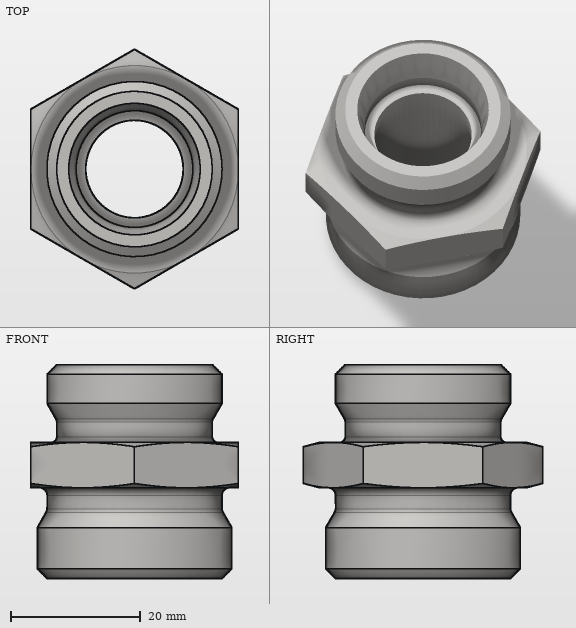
import cadquery as cq
import math

corner_diameter = 36.95
across_flats = corner_diameter * math.cos(math.radians(30))
hex_bottom = 14.0
hex_height = 7.0
hex_top = hex_bottom + hex_height
hex_chamfer_angle = 15.0

total_height = 33.0
end_chamfer = 1.5
lower_diameter = 30.0
lower_neck_diameter = 27.0
lower_collar_top = 7.87
upper_diameter = 27.0
upper_neck_diameter = 24.0
upper_collar_bottom = 27.0
shoulder_angle = 30.0
upper_root_radius = 0.9
lower_root_radius = 1.2

through_diameter = 15.0
socket_diameter = 18.0
mouth_diameter = 20.3
cone_half_angle = 12.0
socket_depth = 7.5


def round_shoulder(body, height, radius):
    """Blend a collar shoulder into its neck at the given height."""
    neck_edge = cq.selectors.NearestToPointSelector((0, 0, height))
    return body.edges(neck_edge).fillet(radius)


def turned_body():
    """Revolve both ends, with concave roots at both sides of each neck."""
    lower_radius = lower_diameter / 2
    lower_neck = lower_neck_diameter / 2
    upper_radius = upper_diameter / 2
    upper_neck = upper_neck_diameter / 2
    shoulder_slope = math.tan(math.radians(shoulder_angle))
    lower_neck_start = lower_collar_top + (lower_radius - lower_neck) / shoulder_slope
    upper_neck_end = upper_collar_bottom - (upper_radius - upper_neck) / shoulder_slope
    diagonal = 1 - math.sqrt(0.5)
    lower_mid = lower_root_radius * diagonal
    upper_mid = upper_root_radius * diagonal
    body = (
        cq.Workplane("XZ")
        .lineTo(lower_radius - end_chamfer, 0)
        .lineTo(lower_radius, end_chamfer)
        .lineTo(lower_radius, lower_collar_top)
        .lineTo(lower_neck, lower_neck_start)
        .lineTo(lower_neck, hex_bottom - lower_root_radius)
        .threePointArc(
            (lower_neck + lower_mid, hex_bottom - lower_mid),
            (lower_neck + lower_root_radius, hex_bottom),
        )
        .lineTo(upper_neck + upper_root_radius, hex_top)
        .threePointArc(
            (upper_neck + upper_mid, hex_top + upper_mid),
            (upper_neck, hex_top + upper_root_radius),
        )
        .lineTo(upper_neck, upper_neck_end)
        .lineTo(upper_radius, upper_collar_bottom)
        .lineTo(upper_radius, total_height - end_chamfer)
        .lineTo(upper_radius - end_chamfer, total_height)
        .lineTo(0, total_height)
        .close()
        .revolve(360, (0, 0, 0), (0, 1, 0))
    )
    body = round_shoulder(body, lower_neck_start, lower_root_radius)
    return round_shoulder(body, upper_neck_end, upper_root_radius)


def hexagon():
    """Hexagonal prism with its corners turned down to cones at both faces."""
    prism = (
        cq.Workplane("XY", origin=(0, 0, hex_bottom))
        .polygon(6, corner_diameter)
        .extrude(hex_height)
        .rotate((0, 0, 0), (0, 0, 1), 90)
    )
    face_radius = across_flats / 2
    corner_radius = corner_diameter / 2
    corner_drop = (corner_radius - face_radius) * math.tan(math.radians(hex_chamfer_angle))
    envelope = (
        cq.Workplane("XZ")
        .moveTo(0, hex_bottom)
        .lineTo(face_radius, hex_bottom)
        .lineTo(corner_radius, hex_bottom + corner_drop)
        .lineTo(corner_radius, hex_top - corner_drop)
        .lineTo(face_radius, hex_top)
        .lineTo(0, hex_top)
        .close()
        .revolve(360, (0, 0, 0), (0, 1, 0))
    )
    return prism.intersect(envelope)


def bore():
    """Through hole, tube socket and conical mouth as one cutter."""
    cone_depth = (mouth_diameter - socket_diameter) / 2 / math.tan(math.radians(cone_half_angle))
    return (
        cq.Workplane("XZ")
        .lineTo(through_diameter / 2, 0)
        .lineTo(through_diameter / 2, total_height - socket_depth)
        .lineTo(socket_diameter / 2, total_height - socket_depth)
        .lineTo(socket_diameter / 2, total_height - cone_depth)
        .lineTo(mouth_diameter / 2, total_height)
        .lineTo(0, total_height)
        .close()
        .revolve(360, (0, 0, 0), (0, 1, 0))
    )


result = turned_body().union(hexagon()).cut(bore())